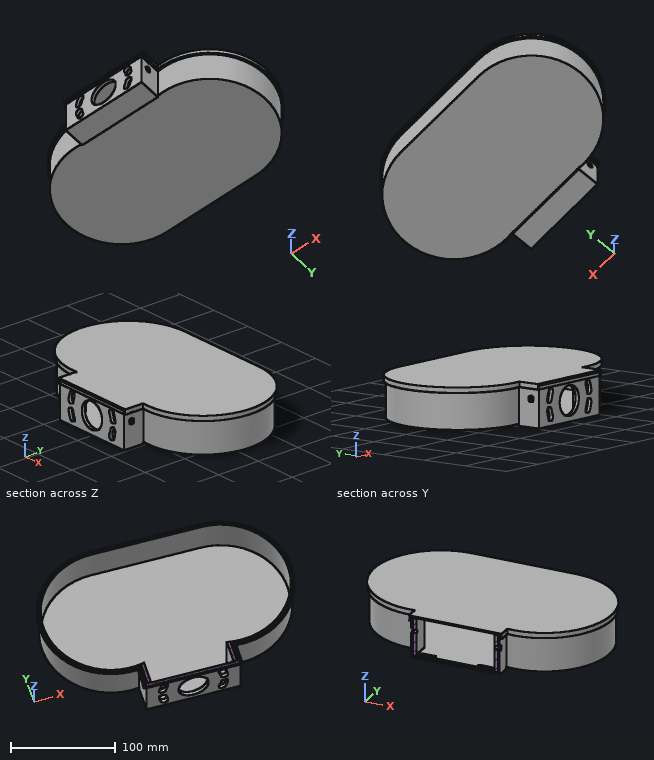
import cadquery as cq
import math

overall_length = 252.3
overall_height = 44.0
wall = 2.0

lid_depth = 142.0
lid_tongue_length = 22.2
lid_height = 5.5
lid_front_lip = 0.13

bracket_width = 94.5
bracket_front_wall = 4.0

tongue_side_wall = 4.0
floor_window_width = 15.0
floor_window_length = 10.0
floor_window_center_x = 30.3

port_diameter = 30.0
slot_radius = 31.5
slot_width = 7.0
slot_start_angle = 10.4
slot_end_angle = 23.3

side_hole_diameter = 6.0
pilot_hole_diameter = 2.8
side_hole_setback = 10.0
side_hole_height = 28.0
side_hole_pitch = 12.5

lid_radius = lid_depth / 2
tub_radius = lid_radius - wall
end_center_x = overall_length / 2 - lid_radius
lid_bottom = overall_height - lid_height
lid_underside = overall_height - wall
lid_tongue_width = bracket_width + 2 * wall
tongue_width = bracket_width - 2 * wall
floor_top = 2 * wall
front_y = -lid_radius - lid_tongue_length
bracket_front_y = front_y + lid_front_lip
tongue_front_y = bracket_front_y + bracket_front_wall
port_height = lid_underside / 2
side_hole_y = front_y + side_hole_setback


def end_arc_front_y(radius, x):
    """Y of the front of a round end of the given radius, at distance x from the middle."""
    return -math.sqrt(radius**2 - (end_center_x - x) ** 2)


def tongued_plate(radius, width, tongue_y, z_bottom, z_top):
    """Plate with round ends, a straight back and a front tongue where the two end arcs stop."""
    half_width = width / 2
    corner_y = end_arc_front_y(radius, half_width)
    return (
        cq.Workplane("XY", origin=(0, 0, z_bottom))
        .moveTo(-half_width, tongue_y)
        .lineTo(half_width, tongue_y)
        .lineTo(half_width, corner_y)
        .threePointArc((end_center_x + radius, 0), (end_center_x, radius))
        .lineTo(-end_center_x, radius)
        .threePointArc((-end_center_x - radius, 0), (-half_width, corner_y))
        .close()
        .extrude(z_top - z_bottom)
    )


def block(width, y_front, y_back, z_bottom, z_top):
    """Box centred on X between the given Y and Z limits."""
    box = cq.Workplane("XY").box(
        width, y_back - y_front, z_top - z_bottom, centered=(True, False, False)
    )
    return box.translate((0, y_front, z_bottom))


def cross_hole(diameter, z):
    """Cylinder along X through both sides of the bracket."""
    return (
        cq.Workplane("YZ", origin=(-bracket_width / 2, side_hole_y, z))
        .circle(diameter / 2)
        .extrude(bracket_width)
    )


def polar_point(radius, angle):
    """Point at the given radius and angle in degrees from the port centre."""
    radians = math.radians(angle)
    return (radius * math.cos(radians), radius * math.sin(radians))


def front_wall_plane():
    """Plane on the inner side of the bracket front wall, centred on the port."""
    return cq.Workplane("XZ", origin=(0, tongue_front_y, port_height))


def port():
    """Round opening in the middle of the bracket front wall."""
    return front_wall_plane().circle(port_diameter / 2).extrude(bracket_front_wall)


def arc_slot(middle_angle):
    """Slot with round ends that follows an arc around the port."""
    half_sweep = (slot_end_angle - slot_start_angle) / 2
    first = middle_angle - half_sweep
    last = middle_angle + half_sweep
    inner = slot_radius - slot_width / 2
    outer = slot_radius + slot_width / 2
    end_angle = math.degrees(slot_width / 2 / slot_radius)
    return (
        front_wall_plane()
        .moveTo(*polar_point(inner, first))
        .threePointArc(polar_point(inner, middle_angle), polar_point(inner, last))
        .threePointArc(polar_point(slot_radius, last + end_angle), polar_point(outer, last))
        .threePointArc(polar_point(outer, middle_angle), polar_point(outer, first))
        .threePointArc(polar_point(slot_radius, first - end_angle), polar_point(inner, first))
        .close()
        .extrude(bracket_front_wall)
    )


def tub_blank():
    """Tub and its tongue before hollowing."""
    return tongued_plate(tub_radius, tongue_width, tongue_front_y, wall, lid_underside)


def make_tub():
    """Open-topped tub whose tongue is open towards the bracket front wall."""
    cavity_width = tongue_width - 2 * tongue_side_wall
    cavity = tongued_plate(
        tub_radius - wall, cavity_width, tongue_front_y, floor_top, lid_underside
    )
    tub = tub_blank().cut(cavity)
    window_back_y = tongue_front_y + floor_window_length
    window = block(floor_window_width, tongue_front_y, window_back_y, wall, floor_top)
    for side in (-1, 1):
        tub = tub.cut(window.translate((side * floor_window_center_x, 0, 0)))
    return tub.cut(cross_hole(pilot_hole_diameter, side_hole_height))


def make_bracket():
    """Cover under, beside and in front of the tongue of the tub."""
    back_y = end_arc_front_y(tub_radius, bracket_width / 2)
    bracket = block(bracket_width, bracket_front_y, back_y, 0, lid_underside)
    bracket = bracket.cut(tub_blank()).cut(port())
    slot_angle = (slot_start_angle + slot_end_angle) / 2
    for angle in (slot_angle, 180 - slot_angle, 180 + slot_angle, -slot_angle):
        bracket = bracket.cut(arc_slot(angle))
    for z in (side_hole_height, side_hole_height + side_hole_pitch):
        bracket = bracket.cut(cross_hole(side_hole_diameter, z))
    return bracket


def make_lid():
    """Cap over the tub and the bracket, with only a thin lip in front of the bracket."""
    lid = tongued_plate(lid_radius, lid_tongue_width, front_y, lid_bottom, overall_height)
    pocket = tongued_plate(tub_radius, bracket_width, bracket_front_y, lid_bottom, lid_underside)
    return lid.cut(pocket)


tub = make_tub()
bracket = make_bracket()
lid = make_lid()

result = cq.Compound.makeCompound([body.solids().val() for body in (tub, bracket, lid)])